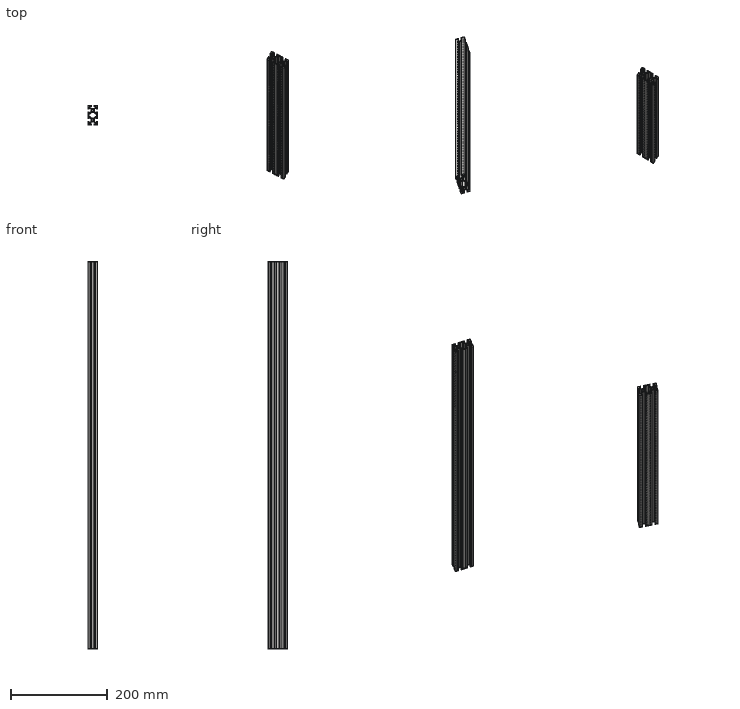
import cadquery as cq

length = 800.0
module = 20.0
half_width = module / 2
half_height = module
corner_radius = 1.2
bore_diameter = 4.2

lip_thickness = 1.8
opening_width = 6.0
opening_half_width = opening_width / 2
pocket_half_width = 6.0
pocket_side_depth = 2.9
floor_half_width = 2.9
floor_depth = 6.0

groove_top_half_width = 2.0
groove_bottom_half_width = 1.3
groove_depth = 0.2

cavity_half_width = half_width - lip_thickness
cavity_side_half_height = 3.0
cavity_shoulder_half_width = 6.0
cavity_end_half_width = 2.6
cavity_half_height = 6.0


def prism(points):
    """Extrude a closed XY outline over the full length."""
    return cq.Workplane("XY").polyline(points).close().extrude(length)


def mirrored_in_x(points):
    """Append the mirror image about X = 0, in the order that continues the outline."""
    return points + [(-x, y) for x, y in reversed(points)]


def slot(face_x, face_y, angle):
    """T-slot cutter centred on a face; at angle 0 it cuts toward -Y."""
    right_side = [
        (opening_half_width, 0),
        (opening_half_width, -lip_thickness),
        (pocket_half_width, -lip_thickness),
        (pocket_half_width, -pocket_side_depth),
        (floor_half_width, -floor_depth),
        (groove_top_half_width, -floor_depth),
        (groove_bottom_half_width, -floor_depth - groove_depth),
    ]
    cutter = prism(mirrored_in_x(right_side))
    return cutter.rotate((0, 0, 0), (0, 0, 1), angle).translate((face_x, face_y, 0))


def central_cavity():
    """Through cavity with slanted ends that leave diagonal ribs beside the slots."""
    upper_right = [
        (cavity_half_width, cavity_side_half_height),
        (cavity_shoulder_half_width, cavity_side_half_height),
        (cavity_end_half_width, cavity_half_height),
    ]
    upper = mirrored_in_x(upper_right)
    lower = [(-x, -y) for x, y in upper]
    return prism(upper + lower)


result = cq.Workplane("XY").rect(2 * half_width, 2 * half_height).extrude(length)
result = result.edges("|Z").fillet(corner_radius)

result = result.cut(slot(0, half_height, 0))
result = result.cut(slot(0, -half_height, 180))

for core_y in (-module / 2, module / 2):
    result = result.cut(slot(half_width, core_y, -90))
    result = result.cut(slot(-half_width, core_y, 90))
    bore = cq.Workplane("XY").center(0, core_y).circle(bore_diameter / 2).extrude(length)
    result = result.cut(bore)

result = result.cut(central_cavity())